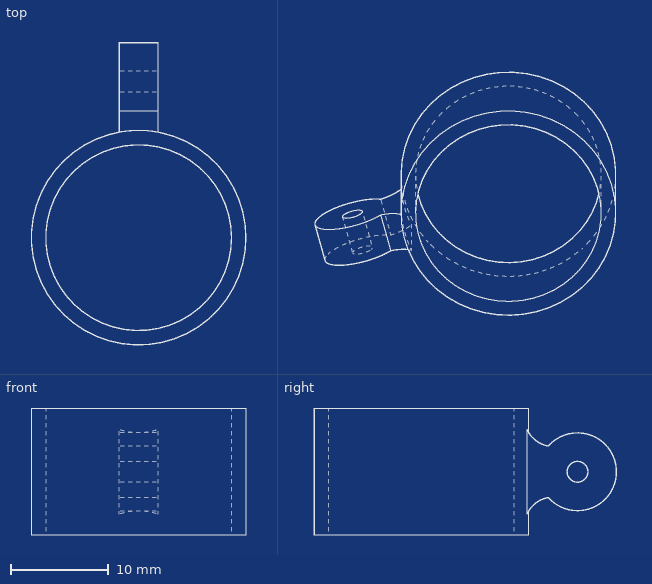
import cadquery as cq
import math

ring_outer_diameter = 22.0
ring_inner_diameter = 19.0
ring_height = 13.0

eyelet_radius = 4.0
eyelet_thickness = 4.0
eyelet_hole_diameter = 2.11
eyelet_gap = 1.0

neck_length = 2.0
root_half_height = 4.35
flare_radius = 3.0

ring_outer_radius = ring_outer_diameter / 2
ring_inner_radius = ring_inner_diameter / 2
mid_height = ring_height / 2
half_thickness = eyelet_thickness / 2

eyelet_y = ring_outer_radius + eyelet_gap + eyelet_radius

neck_y = ring_outer_radius + neck_length
neck_half_height = math.sqrt(eyelet_radius**2 - (eyelet_y - neck_y) ** 2)

root_y = math.sqrt(ring_outer_radius**2 - half_thickness**2)

buried_y = (ring_outer_radius + ring_inner_radius) / 2


def make_ring():
    return (
        cq.Workplane("XY")
        .circle(ring_outer_radius)
        .circle(ring_inner_radius)
        .extrude(ring_height)
    )


def side_plane():
    """YZ sketch plane at the middle of the ring height."""
    return cq.Workplane("YZ", origin=(0, 0, mid_height))


def flare_midpoint():
    """Middle of the upper concave arc between the neck and the root."""
    chord_y = root_y - neck_y
    chord_z = root_half_height - neck_half_height
    chord = math.hypot(chord_y, chord_z)
    sagitta = flare_radius - math.sqrt(flare_radius**2 - (chord / 2) ** 2)
    middle_y = (neck_y + root_y) / 2 - sagitta * chord_z / chord
    middle_z = (neck_half_height + root_half_height) / 2 + sagitta * chord_y / chord
    return middle_y, middle_z


def make_web():
    middle_y, middle_z = flare_midpoint()
    return (
        side_plane()
        .moveTo(eyelet_y, neck_half_height)
        .lineTo(neck_y, neck_half_height)
        .threePointArc((middle_y, middle_z), (root_y, root_half_height))
        .lineTo(buried_y, root_half_height)
        .lineTo(buried_y, -root_half_height)
        .lineTo(root_y, -root_half_height)
        .threePointArc((middle_y, -middle_z), (neck_y, -neck_half_height))
        .lineTo(eyelet_y, -neck_half_height)
        .close()
        .extrude(half_thickness, both=True)
    )


def make_eyelet():
    return (
        side_plane()
        .center(eyelet_y, 0)
        .circle(eyelet_radius)
        .extrude(half_thickness, both=True)
    )


def make_eyelet_hole():
    return (
        side_plane()
        .center(eyelet_y, 0)
        .circle(eyelet_hole_diameter / 2)
        .extrude(eyelet_thickness, both=True)
    )


result = make_ring().union(make_web()).union(make_eyelet()).cut(make_eyelet_hole())